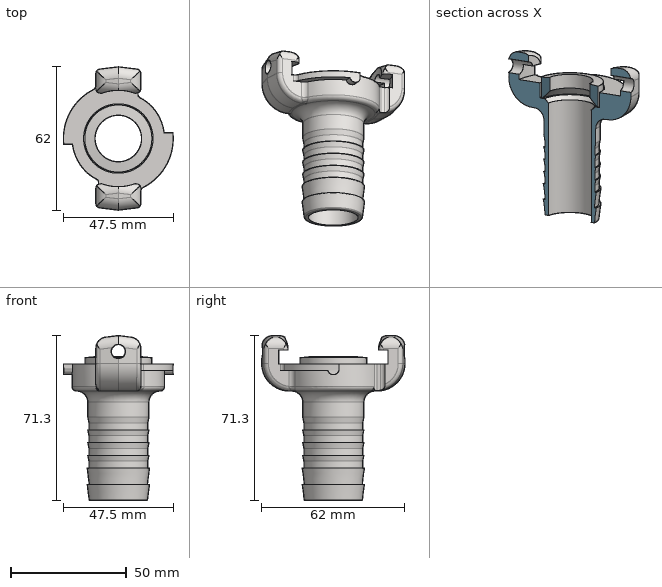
import cadquery as cq
import math

flange_radius = 20.0
flange_thickness = 11.75
flange_fillet = 2.0
flange_bottom = -flange_thickness

tail_bottom = -59.0
neck_radius = 26.5 / 2
neck_fillet = flange_radius - flange_fillet - neck_radius
neck_bottom = -23.0
groove_radius = 25.5 / 2
small_barb_pitch = 5.5
small_barb_count = 3
small_barb_taper = 2.5
large_barb_radius = 27.0 / 2
large_barb_foot_radius = 25.2 / 2
large_barb_pitch = 7.0
large_barb_count = 2
end_fillet = 0.6

bore_radius = 21.5 / 2
seat_radius = 30.0 / 2
seat_depth = 6.7
lead_in = 1.8

gasket_radius = 29.0 / 2
gasket_bore_radius = 20.0 / 2
gasket_edge_height = 2.7
gasket_rim_height = 3.15
gasket_flare = 3.7

hook_half_width = 9.75
hook_reach = 31.0
hook_top = 12.28
hook_crown_angle = 7.0
hook_crown_drop = hook_half_width * math.tan(math.radians(hook_crown_angle))
hook_bend_radius = 12.0
hook_bend_y = hook_reach - hook_bend_radius
hook_bend_z = flange_bottom + hook_bend_radius
hook_corner_fillet = 2.0
hook_top_fillet = 5.0
hook_root_y = 17.0
hook_tip_y = 18.6
slot_height = 6.0
slot_radius = 25.5
lip_radius = 20.8
hole_diameter = 6.0
hole_height = 5.35

ledge_radius = 47.5 / 2
ledge_thickness = 2.8
lug_radius = 2.5
lug_center_z = -2.15

ledge_root_fillet = 2.0
flange_root_fillet = 3.0

clearance_x = 8.6
clearance_y = 22.6
clearance_fillet = 2.2
clearance_root_fillet = 1.2


def turned_body():
    """Flange and hose tail as one turned shape."""
    profile = (
        cq.Workplane("XZ")
        .moveTo(0, 0)
        .lineTo(flange_radius, 0)
        .lineTo(flange_radius, flange_bottom + flange_fillet)
        .radiusArc((flange_radius - flange_fillet, flange_bottom), flange_fillet)
        .radiusArc((neck_radius, flange_bottom - neck_fillet), -neck_fillet)
        .lineTo(neck_radius, neck_bottom)
    )
    z = neck_bottom
    for _ in range(small_barb_count):
        profile = profile.lineTo(groove_radius, z - small_barb_taper)
        z -= small_barb_pitch
        profile = profile.lineTo(groove_radius, z).lineTo(neck_radius, z)
    profile = profile.lineTo(groove_radius, z - small_barb_taper)
    z -= small_barb_pitch
    profile = profile.lineTo(groove_radius, z)
    for _ in range(large_barb_count):
        profile = profile.lineTo(large_barb_radius, z)
        z -= large_barb_pitch
        profile = profile.lineTo(large_barb_foot_radius, z)
    body = profile.lineTo(0, tail_bottom).close().revolve(360, (0, 0, 0), (0, 1, 0))
    return body.faces("<Z").edges().fillet(end_fillet)


def edge_near(body, point):
    """The edge of a body that is nearest to a point."""
    return body.edges(cq.selectors.NearestToPointSelector(point))


def sheared_prism(near_y, far_y, bottom, top, path):
    """A block spanning near_y to far_y at x = 0, carried sideways along a slanted path."""
    outline = (
        cq.Workplane("YZ")
        .moveTo(near_y, bottom)
        .lineTo(far_y, bottom)
        .lineTo(far_y, top)
        .lineTo(near_y, top)
        .close()
    )
    return cq.Workplane(cq.Solid.extrudeLinear(outline.val(), [], cq.Vector(*path)))


def sharp_half_hook():
    """The +X half of the +Y hook before rounding; its outer, inner and top faces fall away to the side."""
    shank_outline = (
        cq.Workplane("YZ")
        .moveTo(hook_root_y, flange_bottom)
        .lineTo(hook_bend_y, flange_bottom)
        .radiusArc((hook_reach, hook_bend_z), -hook_bend_radius)
        .lineTo(hook_root_y, hook_bend_z)
        .close()
    )
    shank_path = cq.Vector(hook_half_width, -hook_crown_drop, 0)
    shank = cq.Workplane(cq.Solid.extrudeLinear(shank_outline.val(), [], shank_path))

    outer_path = (hook_half_width, -hook_crown_drop, -hook_crown_drop)
    inner_path = (hook_half_width, hook_crown_drop, -hook_crown_drop)
    outer_block = sheared_prism(0, hook_reach, hook_bend_z, hook_top, outer_path)
    inner_block = sheared_prism(hook_tip_y, 2 * hook_reach, hook_bend_z, hook_top, inner_path)
    tip_space = (
        cq.Workplane("XY", origin=(0, 0, hook_bend_z))
        .rect(2 * hook_reach, 2 * hook_reach)
        .extrude(hook_top)
    )
    return tip_space.intersect(outer_block).intersect(inner_block).union(shank)


def half_hook():
    """The half hook with its edges rounded: what differently rounded copies have in common."""
    side_x = hook_half_width
    middle_x = side_x / 2
    side_top = hook_top - hook_crown_drop
    middle_top = hook_top - hook_crown_drop / 2
    middle_y = (hook_reach + hook_tip_y) / 2
    outer_y = hook_reach - hook_crown_drop
    inner_y = hook_tip_y + hook_crown_drop
    roundings = (
        ((side_x, outer_y, side_top / 2), hook_corner_fillet),
        ((side_x, inner_y, side_top / 2), hook_corner_fillet),
        ((middle_x, hook_reach - hook_crown_drop / 2, middle_top), hook_top_fillet),
        ((middle_x, hook_tip_y + hook_crown_drop / 2, middle_top), hook_top_fillet),
        ((side_x, middle_y, side_top), hook_top_fillet),
    )
    sharp = sharp_half_hook()
    rounded = sharp
    for point, radius in roundings:
        rounded = rounded.intersect(edge_near(sharp, point).fillet(radius))
    return rounded


def hook():
    """The +Y hook with its slot, cross hole and clearance notch."""
    half = half_hook()
    whole = half.union(half.mirror("YZ"))
    slot = (
        cq.Workplane("XY")
        .circle(slot_radius)
        .extrude(slot_height)
    )
    lip_space = cq.Workplane("XY").circle(lip_radius).extrude(hook_top)
    cross_hole = (
        cq.Workplane("XZ", origin=(0, 0, hole_height))
        .circle(hole_diameter / 2)
        .extrude(-hook_reach)
    )
    root_center_x = clearance_x + clearance_root_fillet
    root_center_radius = flange_radius + clearance_root_fillet
    root_center_y = math.sqrt(root_center_radius**2 - root_center_x**2)
    to_flange = flange_radius / root_center_radius
    notch = (
        cq.Workplane("XY")
        .moveTo(clearance_x, root_center_y)
        .radiusArc((root_center_x * to_flange, root_center_y * to_flange), -clearance_root_fillet)
        .lineTo(hook_reach, 0)
        .lineTo(hook_reach, clearance_y)
        .lineTo(clearance_x + clearance_fillet, clearance_y)
        .radiusArc((clearance_x, clearance_y - clearance_fillet), -clearance_fillet)
        .close()
        .extrude(flange_bottom)
    )
    return whole.cut(slot).cut(lip_space).cut(cross_hole).cut(notch)


def ledge():
    """The -X ledge, running from its stop to the +Y hook, with the lug below the stop."""
    rim = cq.Workplane("XY").circle(ledge_radius).extrude(flange_bottom)
    plate = cq.Workplane("XY").box(ledge_radius, ledge_radius, ledge_thickness, centered=False)
    plate = plate.translate((-ledge_radius, 0, -ledge_thickness))
    lug = (
        cq.Workplane("YZ")
        .moveTo(-lug_radius, 0)
        .lineTo(-lug_radius, lug_center_z)
        .threePointArc((0, lug_center_z - lug_radius), (lug_radius, lug_center_z))
        .lineTo(lug_radius, 0)
        .close()
        .extrude(-ledge_radius)
    )
    flange_core = cq.Workplane("XY").circle(hook_root_y).extrude(flange_bottom)
    return plate.union(lug).intersect(rim).cut(flange_core)


def gasket_seat_and_bore():
    """The space turned out of the coupling: gasket seat, lead-in and bore."""
    lead_in_radius = bore_radius + lead_in
    return (
        cq.Workplane("XZ")
        .lineTo(seat_radius, 0)
        .lineTo(seat_radius, -seat_depth)
        .lineTo(lead_in_radius, -seat_depth)
        .lineTo(bore_radius, -seat_depth - lead_in)
        .lineTo(bore_radius, tail_bottom)
        .lineTo(0, tail_bottom)
        .close()
        .revolve(360, (0, 0, 0), (0, 1, 0))
    )


def make_coupling():
    body = turned_body()
    for angle in (0, 180):
        body = body.union(hook().rotate((0, 0, 0), (0, 0, 1), angle))
        body = body.union(ledge().rotate((0, 0, 0), (0, 0, 1), angle))
    body = body.cut(gasket_seat_and_bore())

    for side in (-1, 1):
        x = side * hook_half_width
        flange_root_y = math.sqrt(flange_radius**2 - x**2)
        ledge_root_y = math.sqrt(ledge_radius**2 - x**2)
        flange_root = (x, -side * flange_root_y, (flange_bottom + flange_fillet - ledge_thickness) / 2)
        ledge_root = (x, -side * ledge_root_y, -ledge_thickness / 2)
        body = edge_near(body, flange_root).fillet(flange_root_fillet)
        body = edge_near(body, ledge_root).fillet(ledge_root_fillet)
    return body


def make_gasket():
    """Sealing ring with a slightly coned top and a flared underside, resting on the seat."""
    flare_radius = gasket_bore_radius + gasket_flare
    return (
        cq.Workplane("XZ")
        .moveTo(flare_radius, -seat_depth)
        .lineTo(gasket_radius, -seat_depth)
        .lineTo(gasket_radius, gasket_edge_height)
        .lineTo(gasket_bore_radius, gasket_rim_height)
        .lineTo(gasket_bore_radius, -seat_depth + gasket_flare)
        .close()
        .revolve(360, (0, 0, 0), (0, 1, 0))
    )


coupling = make_coupling()
gasket = make_gasket()

result = cq.Compound.makeCompound([coupling.val(), gasket.val()])